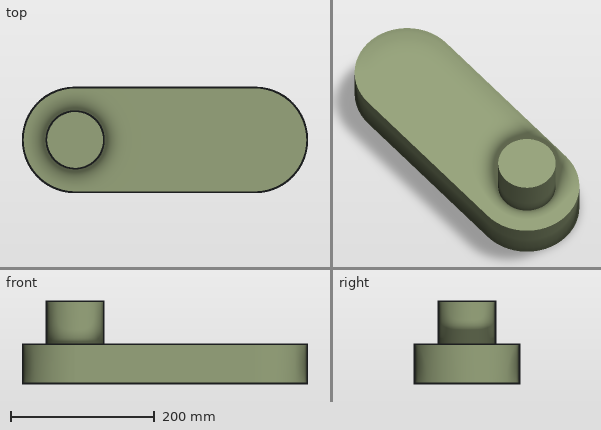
import cadquery as cq

arm_length = 396.0
arm_width = 146.0
arm_thickness = 55.0
total_height = 115.0
pin_diameter = 80.0

centre_distance = arm_length - arm_width
pin_height = total_height - arm_thickness

arm = (
    cq.Workplane("XY")
    .center(centre_distance / 2, 0)
    .slot2D(arm_length, arm_width)
    .extrude(arm_thickness)
)

pin = (
    cq.Workplane("XY")
    .workplane(offset=arm_thickness)
    .circle(pin_diameter / 2)
    .extrude(pin_height)
)

result = arm.union(pin)